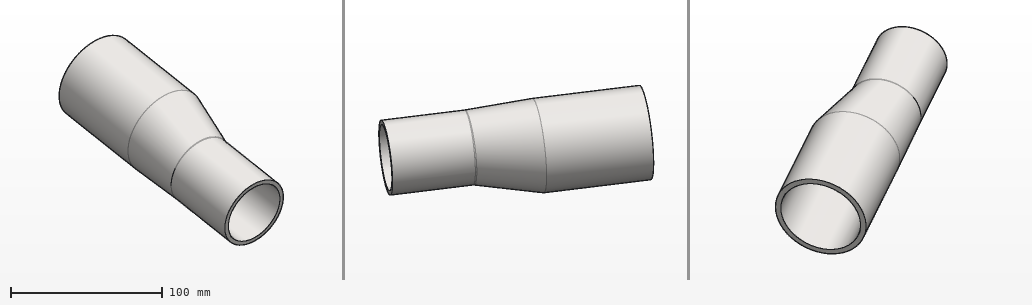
import cadquery as cq

TOTAL_LENGTH = 173.0
LARGE_LENGTH = 72.0
TAPER_LENGTH = 45.0
SMALL_LENGTH = TOTAL_LENGTH - LARGE_LENGTH - TAPER_LENGTH

LARGE_OUTER = 63.0
LARGE_BORE = 55.4
SMALL_OUTER = 50.0
SMALL_BORE = 44.0

NECK_FILLET = 3.5

FLUSH_CLEARANCE = 0.02
SMALL_CENTER_Y = -(LARGE_OUTER - SMALL_OUTER) / 2 + FLUSH_CLEARANCE

NECK_X = LARGE_LENGTH + TAPER_LENGTH


def stepped_core(large_diameter, small_diameter):
    """Solid large cylinder, slanted cone and small cylinder, joined end to end."""
    large = cq.Workplane("YZ").circle(large_diameter / 2).extrude(LARGE_LENGTH)
    taper = (
        cq.Workplane("YZ", origin=(LARGE_LENGTH, 0, 0))
        .circle(large_diameter / 2)
        .workplane(offset=TAPER_LENGTH)
        .center(SMALL_CENTER_Y, 0)
        .circle(small_diameter / 2)
        .loft(ruled=True)
    )
    small = (
        cq.Workplane("YZ", origin=(NECK_X, SMALL_CENTER_Y, 0))
        .circle(small_diameter / 2)
        .extrude(SMALL_LENGTH)
    )
    return large.union(taper).union(small)


def fillet_neck(body):
    """Round the concave circle between the taper and the small pipe."""
    neck_center = (NECK_X, SMALL_CENTER_Y, 0)
    neck_edges = cq.selectors.NearestToPointSelector(neck_center)
    return body.edges("%CIRCLE").edges(neck_edges).fillet(NECK_FILLET)


outer_body = fillet_neck(stepped_core(LARGE_OUTER, SMALL_OUTER))
bore = stepped_core(LARGE_BORE, SMALL_BORE)
result = outer_body.cut(bore)